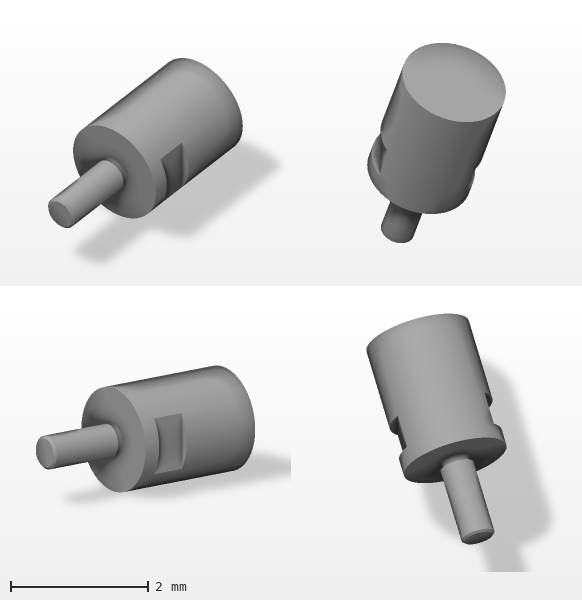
import cadquery as cq

total_length = 3.25
body_length = 2.0
body_diameter = 1.56
stud_diameter = 0.5
stud_chamfer = 0.032

groove_round = 0.05

across_flats = 1.313
flat_width = 0.5
flat_offset = 0.25

body_radius = body_diameter / 2
stud_radius = stud_diameter / 2
groove_radius = stud_radius - groove_round
groove_length = 2 * groove_round
stud_length = total_length - body_length



def turned_blank():
    """Body, undercut and chamfered stud as one revolved profile."""
    profile = (
        cq.Workplane("XY")
        .moveTo(0, body_length)
        .lineTo(body_radius, body_length)
        .lineTo(body_radius, 0)
        .lineTo(stud_radius, 0)
        .radiusArc((groove_radius, -groove_round), -groove_round)
        .radiusArc((stud_radius, -groove_length), -groove_round)
        .lineTo(stud_radius, -stud_length + stud_chamfer)
        .lineTo(stud_radius - stud_chamfer, -stud_length)
        .lineTo(0, -stud_length)
        .close()
    )
    return profile.revolve(360, (0, 0, 0), (0, 1, 0))


def flat_cutter(side):
    """Block that removes everything outside one flat; side is +1 or -1."""
    depth = body_radius
    center_x = side * (across_flats / 2 + depth / 2)
    center_y = flat_offset + flat_width / 2
    return cq.Workplane("XY").box(depth, flat_width, body_diameter).translate((center_x, center_y, 0))


result = turned_blank()
for side in (-1, 1):
    result = result.cut(flat_cutter(side))